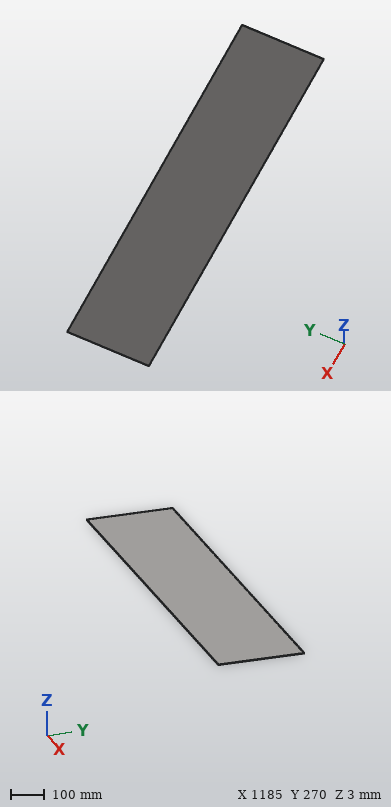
import cadquery as cq

length = 1185.0
width = 270.0
thickness = 3.0

result = cq.Workplane("XY").box(length, width, thickness)